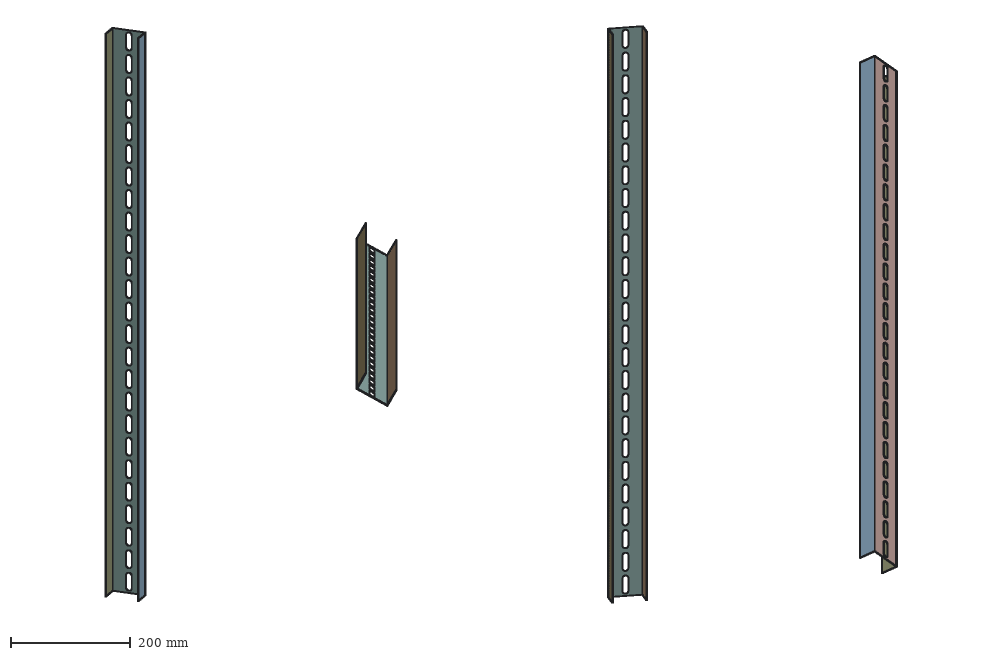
import cadquery as cq

length = 1000.0
width = 60.0
depth = 32.0
wall = 1.5

slot_count = 25
slot_pitch = length / slot_count
slot_length = 32.0
slot_width = 10.0


def channel():
    """U-shaped profile along Z: web on the +Y side, flanges towards -Y."""
    outer = cq.Workplane("XY").box(width, depth, length)
    cavity = (
        cq.Workplane("XY")
        .box(width - 2 * wall, depth, length)
        .translate((0, -wall, 0))
    )
    return outer.cut(cavity)


def web_slots():
    """Single row of evenly spaced round-ended slots, long side along Z."""
    return (
        cq.Workplane("XZ", origin=(0, depth / 2 - wall / 2, 0))
        .rarray(10, slot_pitch, 1, slot_count)
        .slot2D(slot_length, slot_width, 90)
        .extrude(wall, both=True)
    )


result = channel().cut(web_slots())